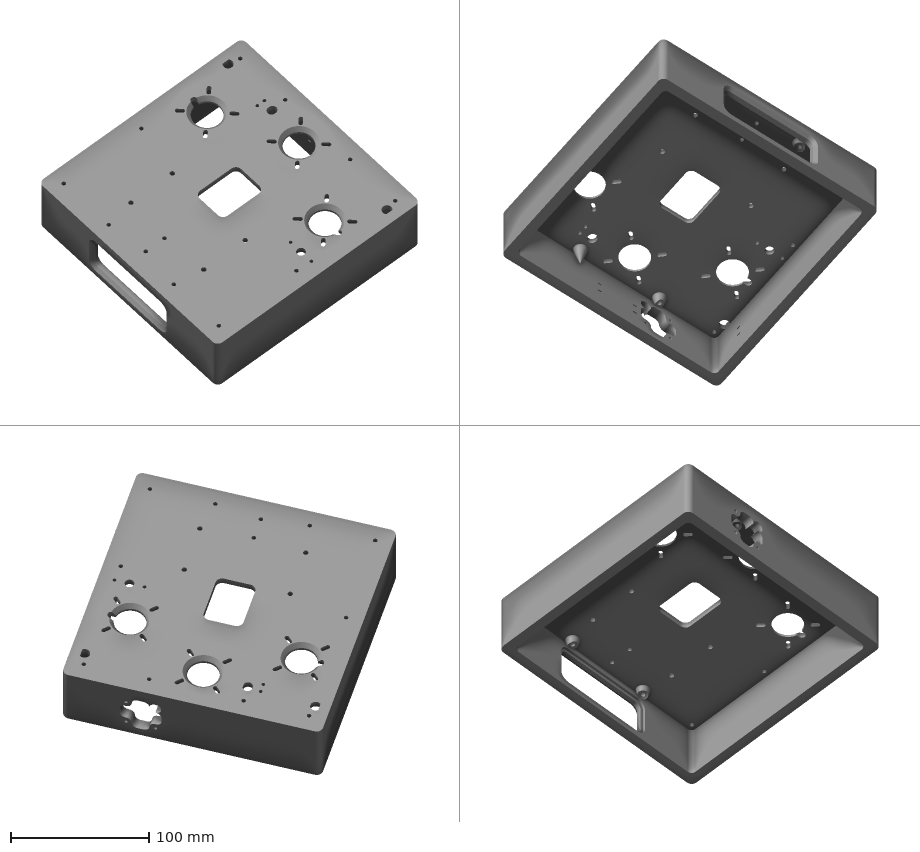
import cadquery as cq
import math

SIDE = 196.0
HEIGHT = 50.0
OUTER_CORNER_RADIUS = 4.9
WALL = 8.0

PLATE_SIDE = SIDE - 2 * WALL
PLATE_THICKNESS = 5.0
PLATE_CORNER_RADIUS = 4.0
PLATE_BOTTOM = HEIGHT - PLATE_THICKNESS
INNER_FACE = PLATE_SIDE / 2

SCREW_DIAMETER = 3.3
SCREW_INSET = 4.9
SCREW_LINE = INNER_FACE - SCREW_INSET
SIDE_SCREW_Y = -10.2
MIDDLE_SCREW_X = 35.7

BOSS_RADIUS = 5.5
BOSS_HEIGHT = 18.0
BOSS_SCREW_DEPTH = 9.0

SPEAKER_DIAMETER = 24.0
SPEAKER_CHAMFER = 3.1
SIDE_SPEAKER_X = 64.7
SIDE_SPEAKER_Y = 35.3
BACK_SPEAKER_Y = 67.0
SPEAKER_SLOT_WIDTH = 3.3
SPEAKER_SLOT_LENGTH = 7.5
SPEAKER_SLOT_RADIUS = 19.8
WIRE_NOTCH_WIDTH = 5.5
WIRE_NOTCH_REACH = 17.0

PLATE_WINDOW_X = 30.0
PLATE_WINDOW_Y = 40.0
PLATE_WINDOW_RADIUS = 5.0

BOARD_HOLE_DIAMETER = 4.0
BOARD_PITCH_X = 80.0
BOARD_PITCH_Y = 40.0
BOARD_CENTER_Y = -40.0
CENTER_HOLE_YS = (-62.7, -80.8)
SMALL_HOLE_DIAMETER = 2.7
SHAFT_DIAMETER = 7.0
LEFT_SHAFT = (-34.9, 71.7)
LEFT_SHAFT_LENGTH = 8.2
LEFT_PIN_X = -45.0
LEFT_PIN_YS = (66.5, 73.3)
RIGHT_SHAFT = (74.5, 3.5)
RIGHT_PIN_OFFSET = 11.4
CABLE_HOLE_DIAMETER = 8.0
CABLE_HOLE_X = 87.2
CABLE_HOLE_Y = 75.3

OPENING_Z = 23.0
OPENING_DEPTH = 19.6

WINDOW_WIDTH = 80.0
WINDOW_HEIGHT = 30.0
WINDOW_RADIUS = 5.0
WINDOW_CHAMFER = 2.5
WINDOW_WALL = 6.0
WINDOW_RECESS_MARGIN = 2.5

SOCKET_LEFT = 22.5
SOCKET_HOLE_DIAMETER = 2.7
SOCKET_SIZE = 31.8
SOCKET_BAR_WIDTH = 13.3
SOCKET_RADIUS = 4.5
SOCKET_HOLE_PITCH = SOCKET_BAR_WIDTH + 2 * SOCKET_RADIUS
SOCKET_X = SOCKET_LEFT + SOCKET_SIZE / 2

BACK_TIE_XS = (-14.5, 17.5)
BACK_TIE_Z = 21.2
RIGHT_TIE_Y = 62.1
RIGHT_TIE_Z = 23.7
TIE_WIDTH = 3.5
TIE_OUTER_RADIUS = 5.0
TIE_INNER_RADIUS = 3.5


def rounded_block(size_x, size_y, size_z, radius):
    """Block standing on Z = 0, with its vertical edges rounded."""
    block = cq.Workplane("XY").box(size_x, size_y, size_z, centered=(True, True, False))
    return block.edges("|Z").fillet(radius)


def mirrored_pair(x, y):
    """The point and its mirror image across the YZ plane."""
    return [(-x, y), (x, y)]


BOSS_POINTS = mirrored_pair(MIDDLE_SCREW_X, SCREW_LINE) + mirrored_pair(MIDDLE_SCREW_X, -SCREW_LINE)
CORNER_POINTS = mirrored_pair(SCREW_LINE, SCREW_LINE) + mirrored_pair(SCREW_LINE, -SCREW_LINE)
SIDE_POINTS = mirrored_pair(SCREW_LINE, SIDE_SCREW_Y)
SIDE_SPEAKERS = mirrored_pair(SIDE_SPEAKER_X, SIDE_SPEAKER_Y)
SPEAKERS = SIDE_SPEAKERS + [(0, BACK_SPEAKER_Y)]




def boss(x, y):
    """Upside-down cone against the plate, with a blind screw hole."""
    top = cq.Vector(x, y, PLATE_BOTTOM)
    cone = cq.Solid.makeCone(BOSS_RADIUS, 0, BOSS_HEIGHT, top, cq.Vector(0, 0, -1))
    hole = cq.Workplane("XY", origin=(x, y, PLATE_BOTTOM)).circle(SCREW_DIAMETER / 2).extrude(-BOSS_SCREW_DEPTH)
    return cq.Workplane(cone).cut(hole)


def wall_plane(x, y):
    """Upright workplane at the height of the wall openings; extrusions run towards +Y."""
    return cq.Workplane(cq.Plane(origin=(x, y, OPENING_Z), xDir=(1, 0, 0), normal=(0, 1, 0)))


def window_block(margin, depth):
    """Rounded block at the window, larger than it by the margin all round; starts at the outer face."""
    profile = (
        cq.Sketch()
        .rect(WINDOW_WIDTH + 2 * margin, WINDOW_HEIGHT + 2 * margin)
        .vertices()
        .fillet(WINDOW_RADIUS + margin)
    )
    return wall_plane(0, -SIDE / 2).placeSketch(profile).extrude(depth)


def front_window():
    """Window through the front wall, with a shallow recess around it on the inside."""
    recess = window_block(WINDOW_RECESS_MARGIN, OPENING_DEPTH - WINDOW_WALL).translate((0, WINDOW_WALL, 0))
    return window_block(0, OPENING_DEPTH).union(recess)


def chamfer_window(frame):
    """Bevel the window's edge in the outer face of the front wall."""
    reach_x = WINDOW_WIDTH / 2 + WINDOW_CHAMFER
    reach_z = WINDOW_HEIGHT / 2 + WINDOW_CHAMFER
    low_corner = (-reach_x, -SIDE / 2 - WINDOW_CHAMFER, OPENING_Z - reach_z)
    high_corner = (reach_x, -SIDE / 2 + WINDOW_CHAMFER, OPENING_Z + reach_z)
    return frame.edges(cq.selectors.BoxSelector(low_corner, high_corner)).chamfer(WINDOW_CHAMFER)


def socket_opening():
    """Cross-shaped opening with its screw holes; the upper left tab has a large clearance hole instead."""
    start = wall_plane(SOCKET_X, SIDE / 2 - OPENING_DEPTH)
    tall_bar = start.rect(SOCKET_BAR_WIDTH, SOCKET_SIZE).extrude(OPENING_DEPTH)
    wide_bar = start.rect(SOCKET_SIZE, SOCKET_BAR_WIDTH).extrude(OPENING_DEPTH)
    cross = tall_bar.union(wide_bar).edges("|Y").fillet(SOCKET_RADIUS)
    holes = (
        start.rect(SOCKET_HOLE_PITCH, SOCKET_HOLE_PITCH, forConstruction=True)
        .vertices()
        .circle(SOCKET_HOLE_DIAMETER / 2)
        .extrude(OPENING_DEPTH)
    )
    clearance = (
        start.center(-SOCKET_HOLE_PITCH / 2, -SOCKET_HOLE_PITCH / 2).circle(SOCKET_RADIUS).extrude(OPENING_DEPTH)
    )
    return cross.union(holes).union(clearance)


def tie_channel():
    """Ring about the X axis; the half that lies inside a wall becomes a channel."""
    start = cq.Workplane("YZ", origin=(-TIE_WIDTH / 2, 0, 0))
    return start.circle(TIE_OUTER_RADIUS).circle(TIE_INNER_RADIUS).extrude(TIE_WIDTH)


def make_frame():
    frame = rounded_block(SIDE, SIDE, HEIGHT, OUTER_CORNER_RADIUS)
    frame = frame.cut(rounded_block(PLATE_SIDE, PLATE_SIDE, HEIGHT, PLATE_CORNER_RADIUS))
    for x, y in BOSS_POINTS:
        frame = frame.union(boss(x, y))
    frame = chamfer_window(frame.cut(front_window())).cut(socket_opening())
    for x in BACK_TIE_XS:
        frame = frame.cut(tie_channel().translate((x, INNER_FACE, BACK_TIE_Z)))
    right_channel = tie_channel().rotate((0, 0, 0), (0, 0, 1), 90)
    return frame.cut(right_channel.translate((INNER_FACE, RIGHT_TIE_Y, RIGHT_TIE_Z)))




def round_holes(points, diameter):
    return cq.Workplane("XY").pushPoints(points).circle(diameter / 2).extrude(HEIGHT)


def speaker_opening(x, y):
    """Round opening with a conical mouth at the top, and four diagonal slots around it."""
    start = cq.Workplane("XY", origin=(x, y, 0))
    opening = start.circle(SPEAKER_DIAMETER / 2).extrude(HEIGHT)
    mouth = (
        cq.Workplane("XY", origin=(x, y, HEIGHT))
        .circle(SPEAKER_DIAMETER / 2 + SPEAKER_CHAMFER)
        .extrude(-SPEAKER_CHAMFER, taper=45)
    )
    slots = (
        start.polarArray(SPEAKER_SLOT_RADIUS, 45, 360, 4)
        .slot2D(SPEAKER_SLOT_LENGTH, SPEAKER_SLOT_WIDTH)
        .extrude(HEIGHT)
    )
    return opening.union(mouth).union(slots)


def wire_notch(speaker_x, speaker_y):
    """Slot that runs from a side speaker's centre past its rim, towards the nearer side wall."""
    middle = speaker_x + math.copysign(WIRE_NOTCH_REACH / 2, speaker_x)
    start = cq.Workplane("XY").center(middle, speaker_y)
    return start.slot2D(WIRE_NOTCH_REACH, WIRE_NOTCH_WIDTH).extrude(HEIGHT)


def board_holes():
    corners = cq.Workplane("XY").center(0, BOARD_CENTER_Y)
    corners = corners.rect(BOARD_PITCH_X, BOARD_PITCH_Y, forConstruction=True).vertices()
    return corners.circle(BOARD_HOLE_DIAMETER / 2).extrude(HEIGHT)


def left_shaft_hole():
    """Shaft hole lengthened along Y, with two pin holes beside it."""
    slot = cq.Workplane("XY").center(*LEFT_SHAFT).slot2D(LEFT_SHAFT_LENGTH, SHAFT_DIAMETER, 90).extrude(HEIGHT)
    return slot.union(round_holes([(LEFT_PIN_X, y) for y in LEFT_PIN_YS], SMALL_HOLE_DIAMETER))


def right_shaft_hole():
    """Round shaft hole with a pin hole on either side."""
    x, y = RIGHT_SHAFT
    pins = [(x - RIGHT_PIN_OFFSET, y), (x + RIGHT_PIN_OFFSET, y)]
    return round_holes([RIGHT_SHAFT], SHAFT_DIAMETER).union(round_holes(pins, SMALL_HOLE_DIAMETER))


def make_plate():
    plate = rounded_block(PLATE_SIDE, PLATE_SIDE, PLATE_THICKNESS, PLATE_CORNER_RADIUS)
    plate = plate.translate((0, 0, PLATE_BOTTOM))
    plate = plate.cut(rounded_block(PLATE_WINDOW_X, PLATE_WINDOW_Y, HEIGHT, PLATE_WINDOW_RADIUS))
    plate = plate.cut(round_holes(CORNER_POINTS + SIDE_POINTS + BOSS_POINTS, SCREW_DIAMETER))
    plate = plate.cut(round_holes([(0, y) for y in CENTER_HOLE_YS], SCREW_DIAMETER))
    plate = plate.cut(round_holes(mirrored_pair(CABLE_HOLE_X, CABLE_HOLE_Y), CABLE_HOLE_DIAMETER))
    plate = plate.cut(board_holes()).cut(left_shaft_hole()).cut(right_shaft_hole())
    for x, y in SPEAKERS:
        plate = plate.cut(speaker_opening(x, y))
    for x, y in SIDE_SPEAKERS:
        plate = plate.cut(wire_notch(x, y))
    return plate


frame = make_frame()
plate = make_plate()

result = cq.Compound.makeCompound([frame.val(), plate.val()])